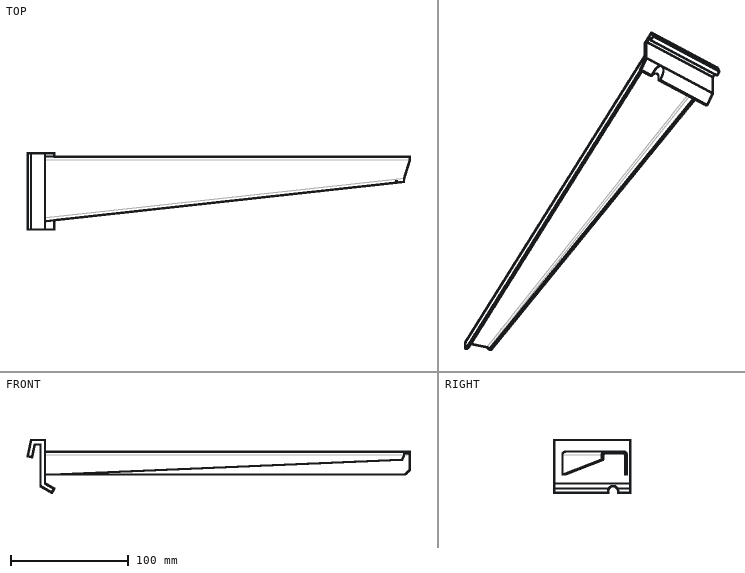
import cadquery as cq
import math


hook_width = 65.0
hook_height = 45.0
hook_thickness = 4.0
plate_front_x = 15.0
plate_back_x = plate_front_x - hook_thickness
claw_angle = math.radians(12.0)
claw_drop = 14.0
lip_angle = math.radians(30.0)
lip_length = 11.2
notch_width = 8.2
notch_y = 17.8

overall_length = 325.05
arm_thickness = 1.5
arm_outer_bend = 3.0
arm_inner_bend = arm_outer_bend - arm_thickness
arm_top_z = -10.0
arm_depth = 19.5
arm_bottom_z = arm_top_z - arm_depth
deep_flange_y = 29.5
slant_flange_root_y = -25.5
slant_flange_tip_y = 8.0
slant_flange_tip_x = 320.2
tip_chamfer = 4.0
depth_taper_start_x = 22.0
shallow_tip_depth = 6.9
shallow_tip_setback = 1.7
clearance = 10.0


def make_hook():
    claw_top_x = claw_drop * math.tan(claw_angle)
    claw_tip_inner = (
        hook_thickness * math.cos(claw_angle),
        -claw_drop - hook_thickness * math.sin(claw_angle),
    )
    inner_top_z = -hook_thickness
    claw_root_x = claw_tip_inner[0] + (inner_top_z - claw_tip_inner[1]) * math.tan(claw_angle)

    lip_end = (plate_back_x + lip_length * math.cos(lip_angle), -hook_height)
    lip_bend_z = lip_end[1] + lip_length * math.sin(lip_angle)
    lip_end_upper = (
        lip_end[0] + hook_thickness * math.sin(lip_angle),
        lip_end[1] + hook_thickness * math.cos(lip_angle),
    )
    lip_root_z = lip_end_upper[1] + (lip_end_upper[0] - plate_front_x) * math.tan(lip_angle)

    strip = (
        cq.Workplane("XZ", origin=(0, hook_width / 2, 0))
        .moveTo(0, -claw_drop)
        .lineTo(claw_top_x, 0)
        .lineTo(plate_front_x, 0)
        .lineTo(plate_front_x, lip_root_z)
        .lineTo(*lip_end_upper)
        .lineTo(*lip_end)
        .lineTo(plate_back_x, lip_bend_z)
        .lineTo(plate_back_x, inner_top_z)
        .lineTo(claw_root_x, inner_top_z)
        .lineTo(*claw_tip_inner)
        .close()
        .extrude(hook_width)
    )

    notch_radius = notch_width / 2
    notch = (
        cq.Workplane("YZ")
        .moveTo(notch_y - notch_radius, -hook_height - clearance)
        .lineTo(notch_y - notch_radius, lip_bend_z - notch_radius)
        .threePointArc((notch_y, lip_bend_z), (notch_y + notch_radius, lip_bend_z - notch_radius))
        .lineTo(notch_y + notch_radius, -hook_height - clearance)
        .close()
        .extrude(lip_end_upper[0] + clearance)
    )
    return strip.cut(notch)


def tapered_block(inset, bend_radius, start_x, end_x, bottom_z):
    """Solid under the arm's skin moved inwards by inset, with rounded upper long edges."""
    taper = (slant_flange_tip_y - slant_flange_root_y) / (slant_flange_tip_x - plate_front_x)
    slant_inset = inset * math.hypot(1, taper)

    def slant_y(x):
        return slant_flange_root_y + taper * (x - plate_front_x) + slant_inset

    top_z = arm_top_z - inset
    back_y = deep_flange_y - inset
    block = (
        cq.Workplane("XY", origin=(0, 0, bottom_z))
        .polyline([
            (start_x, slant_y(start_x)),
            (end_x, slant_y(end_x)),
            (end_x, back_y),
            (start_x, back_y),
        ])
        .close()
        .extrude(top_z - bottom_z)
    )
    return block.faces(">Z").edges("not |Y").fillet(bend_radius)


def make_arm():
    outer = tapered_block(0, arm_outer_bend, plate_front_x, overall_length, arm_bottom_z)
    inner = tapered_block(
        arm_thickness,
        arm_inner_bend,
        plate_front_x - clearance,
        overall_length + clearance,
        arm_bottom_z - clearance,
    )
    channel = outer.cut(inner)

    tip_waste = (
        cq.Workplane("XY", origin=(0, 0, arm_bottom_z - clearance))
        .polyline([
            (overall_length, deep_flange_y - arm_outer_bend),
            (slant_flange_tip_x, slant_flange_tip_y + arm_outer_bend),
            (slant_flange_tip_x, slant_flange_root_y),
            (overall_length + clearance, slant_flange_root_y),
            (overall_length + clearance, deep_flange_y - arm_outer_bend),
        ])
        .close()
        .extrude(arm_depth + 2 * clearance)
    )

    corner_waste = (
        cq.Workplane("XZ", origin=(0, deep_flange_y + clearance, 0))
        .polyline([
            (overall_length - tip_chamfer, arm_bottom_z),
            (overall_length, arm_bottom_z + tip_chamfer),
            (overall_length, arm_bottom_z),
        ])
        .close()
        .extrude(2 * clearance)
    )

    inside_deep_flange_y = deep_flange_y - arm_outer_bend
    flange_waste = (
        cq.Workplane("XZ", origin=(0, inside_deep_flange_y, 0))
        .polyline([
            (depth_taper_start_x, arm_bottom_z),
            (slant_flange_tip_x - shallow_tip_setback, arm_top_z - shallow_tip_depth),
            (slant_flange_tip_x, arm_top_z - arm_outer_bend),
            (overall_length, arm_top_z - arm_outer_bend),
            (overall_length, arm_bottom_z),
        ])
        .close()
        .extrude(inside_deep_flange_y - slant_flange_root_y + clearance)
    )
    return channel.cut(tip_waste).cut(corner_waste).cut(flange_waste)


hook = make_hook()
arm = make_arm()
result = cq.Compound.makeCompound([hook.val(), arm.val()])